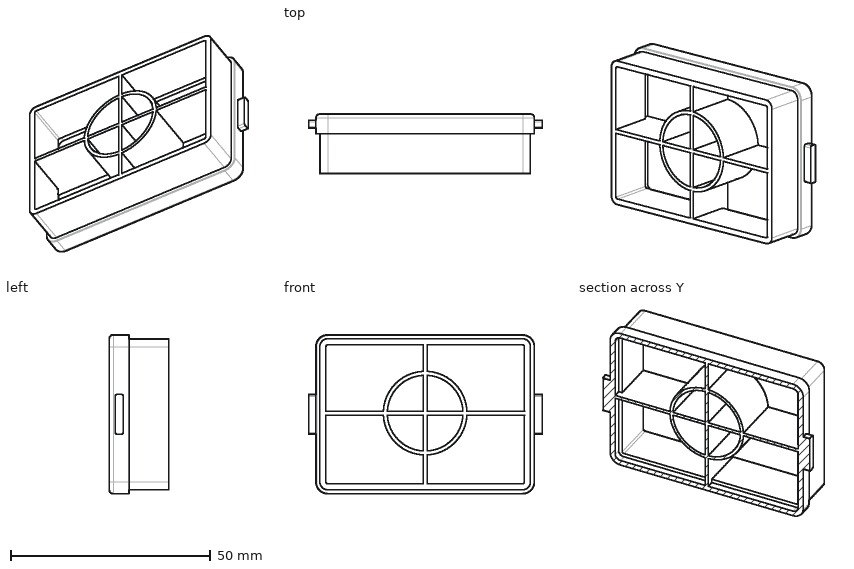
import cadquery as cq

lid_width = 54.95
lid_height = 40.0
lid_depth = 5.0
lid_corner_radius = 3.0
lid_rear_round = 1.0
lid_rim_round = 0.2

lid_overhang = 1.0
box_depth = 10.0
box_width = lid_width - 2 * lid_overhang
box_height = lid_height - 2 * lid_overhang
box_corner_radius = lid_corner_radius - lid_overhang

wall = 1.5
recess_depth = 2.0
opening_corner_radius = 0.45
opening_width = box_width - 2 * wall
opening_height = box_height - 2 * wall
recess_width = lid_width - 2 * wall
recess_height = lid_height - 2 * wall
recess_corner_radius = lid_corner_radius - wall

rib_thickness = 1.0
crossing_z = 0.3
tube_outer_radius = 10.5
tube_inner_radius = tube_outer_radius - rib_thickness

left_tab_length = 1.8
right_tab_length = 2.0
tab_height = 10.0
tab_depth = 2.0
tab_rear_gap = 1.5
tab_edge_round = 0.45
tab_bar_width = left_tab_length + lid_width + right_tab_length
tab_bar_center_x = (right_tab_length - left_tab_length) / 2

rear_y = (lid_depth + box_depth) / 2
lid_front_y = rear_y - lid_depth
front_y = lid_front_y - box_depth
floor_y = rear_y - wall
recess_front_y = floor_y - recess_depth
tab_rear_y = rear_y - tab_rear_gap


def block(width, height, start_y, end_y, center_x=0, center_z=0):
    """Rectangular block between two Y positions."""
    center_y = (start_y + end_y) / 2
    return cq.Workplane("XY").box(width, end_y - start_y, height).translate((center_x, center_y, center_z))


def rounded_block(width, height, start_y, end_y, corner_radius):
    """Block centred on the Y axis, with its four edges along Y rounded."""
    return block(width, height, start_y, end_y).edges("|Y").fillet(corner_radius)


def make_lid():
    lid = rounded_block(lid_width, lid_height, lid_front_y, rear_y, lid_corner_radius)
    lid = lid.faces(">Y").edges().fillet(lid_rear_round)
    return lid.faces("<Y").edges().fillet(lid_rim_round)


def make_box():
    return rounded_block(box_width, box_height, front_y, floor_y, box_corner_radius)


def make_tab_bar():
    """One bar through the lid whose two ends are the side tabs."""
    bar = block(tab_bar_width, tab_height, tab_rear_y - tab_depth, tab_rear_y, center_x=tab_bar_center_x)
    return bar.edges("|X").fillet(tab_edge_round)


def make_cavity():
    opening = rounded_block(opening_width, opening_height, front_y, floor_y, opening_corner_radius)
    recess = rounded_block(recess_width, recess_height, recess_front_y, floor_y, recess_corner_radius)
    return opening.union(recess)


def make_ribs():
    """Upright rib, level rib and tube, from the floor to the front edge."""
    upright = block(rib_thickness, recess_height, front_y, floor_y)
    level = block(recess_width, rib_thickness, front_y, floor_y, center_z=crossing_z)
    tube = (
        cq.Workplane("XZ", origin=(0, floor_y, crossing_z))
        .circle(tube_outer_radius)
        .circle(tube_inner_radius)
        .extrude(floor_y - front_y)
    )
    return upright.union(level).union(tube)


body = make_lid().union(make_box()).union(make_tab_bar())
result = body.cut(make_cavity()).union(make_ribs())